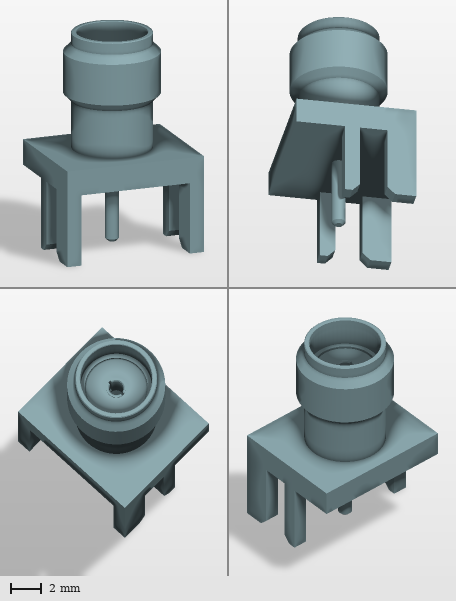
import cadquery as cq

plate_length = 7.9
plate_width = 9.5
plate_bottom = 4.75
plate_top = 6.45

axis_x = 3.69
total_height = 14.25

barrel_radius = 2.65
collar_radius = 3.18
collar_bottom = 9.65
collar_top = 13.45
collar_bevel = collar_radius - barrel_radius
rim_chamfer = 0.05

bore_radius = 2.32
mouth_chamfer = 0.04
bore_depth = 1.97
shoulder_z = total_height - bore_depth
insulator_seat_radius = 2.04
insulator_recess = 0.09
insulator_top = shoulder_z - insulator_recess
insulator_chamfer = 0.09

contact_radius = 0.64
contact_top = shoulder_z
contact_hole_radius = 0.47
contact_hole_chamfer = 0.07
contact_hole_depth = 2.0
contact_cone_depth = 0.28
contact_slot_width = 0.19
contact_slot_depth = 1.71

leg_thickness = 1.0
narrow_leg_width = 1.01
wide_leg_width = 1.9
leg_chamfer = 0.5

pin_radius = 0.45
pin_tip_z = 0.13
pin_chamfer = 0.2


def revolve_on_axis(outline):
    """Revolve an outline of (radius, height) points about the connector axis."""
    profile = cq.Workplane("XZ").polyline(outline).close()
    return profile.revolve(360, (0, 0, 0), (0, 1, 0)).translate((axis_x, 0, 0))


def make_plate():
    thickness = plate_top - plate_bottom
    plate = cq.Workplane("XY").box(plate_length, plate_width, thickness, centered=(False, True, False))
    return plate.translate((0, 0, plate_bottom))


def make_barrel():
    return revolve_on_axis([
        (0, plate_top),
        (barrel_radius, plate_top),
        (barrel_radius, collar_bottom),
        (collar_radius, collar_bottom + collar_bevel),
        (collar_radius, collar_top - collar_bevel),
        (barrel_radius, collar_top),
        (barrel_radius, total_height - rim_chamfer),
        (barrel_radius - rim_chamfer, total_height),
        (0, total_height),
    ])


def make_bore():
    """Open socket: chamfered mouth, flat shoulder, and a bevelled ring groove around the insulator."""
    return revolve_on_axis([
        (0, total_height),
        (bore_radius + mouth_chamfer, total_height),
        (bore_radius, total_height - mouth_chamfer),
        (bore_radius, shoulder_z),
        (insulator_seat_radius, shoulder_z),
        (insulator_seat_radius, insulator_top - insulator_chamfer),
        (insulator_seat_radius - insulator_chamfer, insulator_top),
        (0, insulator_top),
    ])


def make_contact():
    contact = cq.Workplane("XY").circle(contact_radius).extrude(contact_top - plate_bottom)
    return contact.translate((axis_x, 0, plate_bottom))


def make_contact_hole():
    hole_bottom = contact_top - contact_hole_depth
    return revolve_on_axis([
        (0, contact_top),
        (contact_hole_radius + contact_hole_chamfer, contact_top),
        (contact_hole_radius, contact_top - contact_hole_chamfer),
        (contact_hole_radius, hole_bottom),
        (0, hole_bottom - contact_cone_depth),
    ])


def make_contact_slot():
    """Slot across the contact along Y, trimmed to the outside of the contact."""
    slot_bottom = contact_top - contact_slot_depth
    sleeve = cq.Workplane("XY").circle(contact_radius).extrude(contact_slot_depth)
    strip = cq.Workplane("XY").box(
        contact_slot_width, 2 * contact_radius, contact_slot_depth, centered=(True, True, False)
    )
    return sleeve.intersect(strip).translate((axis_x, 0, slot_bottom))


def make_leg(x_min, width, bevelled_side, y_min):
    """Rectangular leg with one lower corner bevelled."""
    leg = cq.Workplane("XY").box(width, leg_thickness, plate_bottom, centered=False)
    leg = leg.faces("<Z").edges(bevelled_side).chamfer(leg_chamfer)
    return leg.translate((x_min, y_min, 0))


def make_pin():
    pin = cq.Workplane("XY").circle(pin_radius).extrude(plate_bottom - pin_tip_z)
    return pin.faces("<Z").chamfer(pin_chamfer).translate((axis_x, 0, pin_tip_z))


result = make_plate().union(make_barrel()).cut(make_bore()).union(make_contact())
result = result.cut(make_contact_hole()).cut(make_contact_slot()).union(make_pin())

for y_min in (-plate_width / 2, plate_width / 2 - leg_thickness):
    result = result.union(make_leg(axis_x - narrow_leg_width / 2, narrow_leg_width, ">X", y_min))
    result = result.union(make_leg(plate_length - wide_leg_width, wide_leg_width, "<X", y_min))